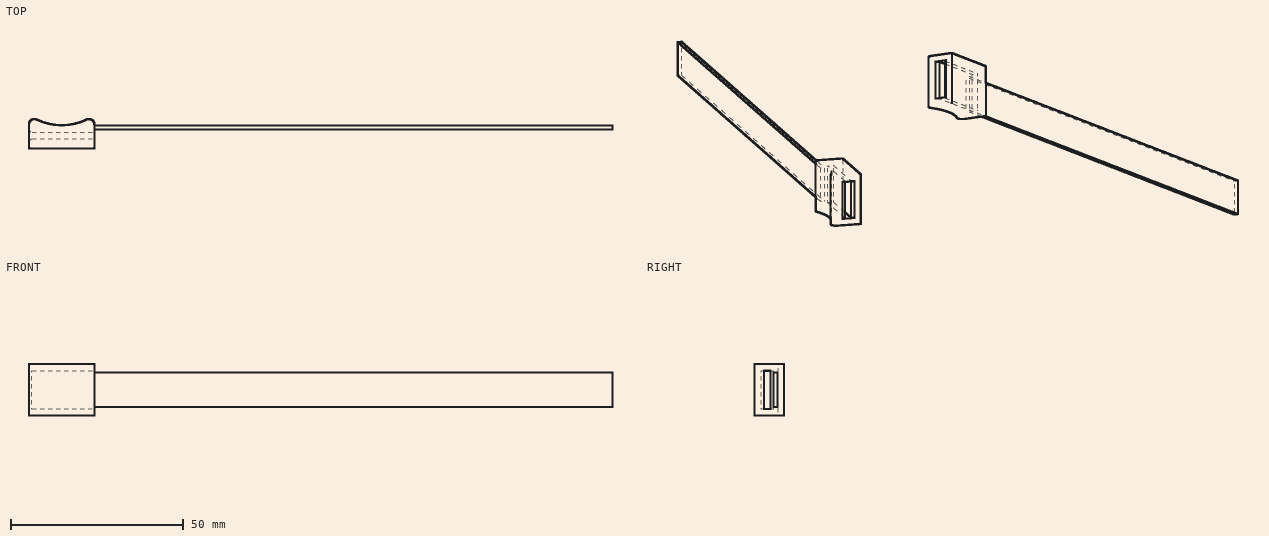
import cadquery as cq
import math

housing_length = 19.0
housing_depth = 8.6
housing_height = 15.0

grip_bottom_y = 6.8
crest_radius = 1.6

edge_radius = 0.2

passage_width = 1.8
passage_height = 11.0
passage_center_y = 3.7
lead_in = 0.9
lead_in_depth = 0.7

strap_length = 150.0
strap_thickness = 1.2
strap_width = 10.0
strap_bottom_y = 5.5


def make_housing():
    """Extrude the profile with its concave grip and cut the strap passage."""
    middle = housing_length / 2
    crest_offset = middle - crest_radius
    crest_center_y = housing_depth - crest_radius
    grip_rise = crest_center_y - grip_bottom_y
    grip_radius = (crest_offset**2 + grip_rise**2 - crest_radius**2) / (2 * (grip_rise + crest_radius))
    grip_center_y = grip_bottom_y + grip_radius
    tangent_share = grip_radius / (grip_radius + crest_radius)
    tangent_offset = crest_offset * tangent_share
    tangent_y = grip_center_y + (crest_center_y - grip_center_y) * tangent_share
    crest_rise = crest_radius * math.sqrt(0.5)

    body = (
        cq.Workplane("XY")
        .moveTo(0, 0)
        .lineTo(housing_length, 0)
        .lineTo(housing_length, crest_center_y)
        .threePointArc(
            (middle + crest_offset + crest_rise, crest_center_y + crest_rise),
            (middle + tangent_offset, tangent_y),
        )
        .threePointArc((middle, grip_bottom_y), (middle - tangent_offset, tangent_y))
        .threePointArc(
            (middle - crest_offset - crest_rise, crest_center_y + crest_rise),
            (0, crest_center_y),
        )
        .close()
        .extrude(housing_height / 2, both=True)
        .faces("|Z")
        .fillet(edge_radius)
    )
    return body.cut(make_passage())


def make_passage():
    """Slot along X whose two wide walls flare open at the -X mouth."""
    half_width = passage_width / 2
    half_mouth = half_width + lead_in
    return (
        cq.Workplane("XY")
        .moveTo(0, passage_center_y - half_mouth)
        .lineTo(lead_in_depth, passage_center_y - half_width)
        .lineTo(housing_length, passage_center_y - half_width)
        .lineTo(housing_length, passage_center_y + half_width)
        .lineTo(lead_in_depth, passage_center_y + half_width)
        .lineTo(0, passage_center_y + half_mouth)
        .close()
        .extrude(passage_height / 2, both=True)
    )


def make_strap():
    """Plain flat strip starting at the +X end face of the housing."""
    return cq.Workplane("XY").box(
        strap_length, strap_thickness, strap_width, centered=(False, False, True)
    ).translate((housing_length, strap_bottom_y, 0))


housing = make_housing()
strap = make_strap()

result = cq.Compound.makeCompound([housing.val(), strap.val()])